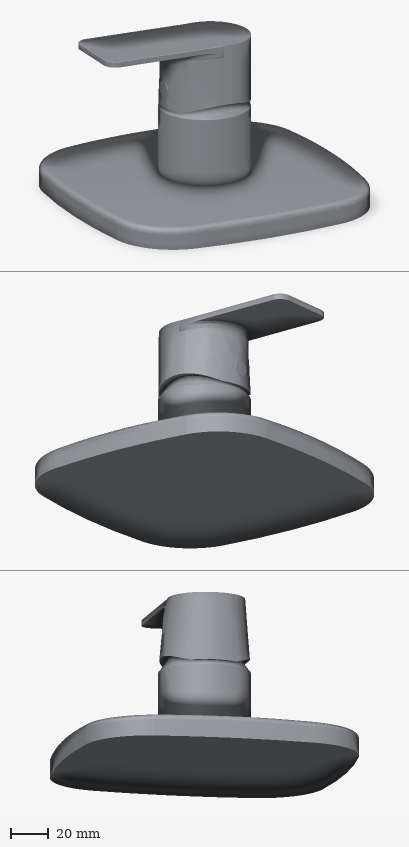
import cadquery as cq
import math

PLATE_HALF = 77.0
SIDE_ARC_RADIUS = 320.0
SIDE_ARC_HALF_CHORD = 43.5
PLATE_EDGE_HEIGHT = 12.1
PLATE_CROWN_HEIGHT = 13.8
PLATE_FILLET = 3.0

COLLAR_RADIUS = 24.6
COLLAR_TOP = 50.9
COLLAR_EDGE_FILLET = 0.4
CONE_TOP_RADIUS = 18.0
CONE_HEIGHT = 9.0

BODY_BOTTOM = 52.0
BODY_TOP = 92.0
BODY_BOTTOM_RADIUS = 24.5
BODY_TOP_HALF_WIDTH = 20.3
BODY_TOP_BACK = 25.2
BODY_TOP_FRONT = -23.5
SIDE_HALF_ANGLE = 10.0

RIM_PEAK_HEIGHT = 58.0
RIM_END_HEIGHT = 53.2
RIM_END_Y = 21.0

LEVER_ROOT_Y = 1.0
LEVER_TIP_Y = -67.0
LEVER_TIP_TOP = 91.0
LEVER_BACK_TOP = 89.4
LEVER_ROOT_UNDERSIDE = 86.8
LEVER_TIP_UNDERSIDE = 87.8
LEVER_HALF_WIDTH = 20.5
LEVER_CORNER_RADIUS = 6.5
LEVER_EDGE_CHAMFER = 0.3

NECK_BOTTOM = 83.2
NECK_FILLET = 1.3
NECK_OVERLAP = 0.5

MARKER_RADIUS = 4.5
MARKER_HEIGHT = 63.2
MARKER_FACE_Y = -24.4
MARKER_DEPTH = 4.0

CLEARANCE = 10.0


def arc_point(radius, degrees, centre_y=0.0):
    angle = math.radians(degrees)
    return (radius * math.cos(angle), centre_y + radius * math.sin(angle))


def lever_top_at(y):
    slope = (LEVER_TIP_TOP - LEVER_BACK_TOP) / (LEVER_TIP_Y - BODY_TOP_BACK)
    return LEVER_TIP_TOP + slope * (y - LEVER_TIP_Y)


def lever_underside_at(y):
    slope = (LEVER_TIP_UNDERSIDE - LEVER_ROOT_UNDERSIDE) / (LEVER_TIP_Y - LEVER_ROOT_Y)
    return LEVER_ROOT_UNDERSIDE + slope * (y - LEVER_ROOT_Y)


def make_plate():
    side_slope = math.asin(SIDE_ARC_HALF_CHORD / SIDE_ARC_RADIUS)
    near = SIDE_ARC_HALF_CHORD
    far = PLATE_HALF - SIDE_ARC_RADIUS * (1 - math.cos(side_slope))
    corner_radius = (far - near) / (math.cos(side_slope) - math.sin(side_slope))
    corner_centre = near - corner_radius * math.sin(side_slope)
    corner_mid = corner_centre + corner_radius * math.cos(math.pi / 4)

    outline = cq.Workplane("XY").moveTo(near, -far)
    for cosine, sine in ((1, 0), (0, 1), (-1, 0), (0, -1)):
        arc_points = [
            (x * cosine - y * sine, x * sine + y * cosine)
            for x, y in ((corner_mid, -corner_mid), (far, -near), (PLATE_HALF, 0), (far, near))
        ]
        outline = outline.threePointArc(arc_points[0], arc_points[1])
        outline = outline.threePointArc(arc_points[2], arc_points[3])
    plate = outline.close().extrude(PLATE_CROWN_HEIGHT + CLEARANCE)

    crown_rise = PLATE_CROWN_HEIGHT - PLATE_EDGE_HEIGHT
    crown_radius = (PLATE_HALF**2 + crown_rise**2) / (2 * crown_rise)
    crown = cq.Workplane("XY").sphere(crown_radius)
    crown = crown.translate((0, 0, PLATE_CROWN_HEIGHT - crown_radius))
    plate = plate.intersect(crown)
    return plate.faces(">Z").edges().fillet(PLATE_FILLET)


def make_collar():
    collar = cq.Workplane("XY").circle(COLLAR_RADIUS).extrude(COLLAR_TOP)
    collar = collar.faces(">Z").edges().fillet(COLLAR_EDGE_FILLET)
    cone = cq.Solid.makeCone(
        COLLAR_RADIUS - COLLAR_EDGE_FILLET, CONE_TOP_RADIUS, CONE_HEIGHT, cq.Vector(0, 0, COLLAR_TOP)
    )
    return collar.union(cq.Workplane(cone))


def add_body_section(workplane, half_width, back_y, front_y, end_angle):
    """Two end arcs, reaching end_angle from the X axis, joined by two side curves."""
    back_centre = back_y - half_width
    front_centre = front_y + half_width
    right_back = arc_point(half_width, end_angle, back_centre)
    left_back = arc_point(half_width, 180 - end_angle, back_centre)
    left_front = arc_point(half_width, 180 + end_angle, front_centre)
    right_front = arc_point(half_width, -end_angle, front_centre)
    is_round = end_angle > 0

    outline = workplane.moveTo(*right_back).threePointArc((0, back_y), left_back)
    if is_round:
        outline = outline.threePointArc((-half_width, 0), left_front)
    else:
        outline = outline.lineTo(*left_front)
    outline = outline.threePointArc((0, front_y), right_front)
    if is_round:
        outline = outline.threePointArc((half_width, 0), right_back)
    else:
        outline = outline.lineTo(*right_back)
    return outline.wire()


def make_body():
    bottom = cq.Workplane("XY").workplane(offset=BODY_BOTTOM)
    bottom = add_body_section(
        bottom, BODY_BOTTOM_RADIUS, BODY_BOTTOM_RADIUS, -BODY_BOTTOM_RADIUS, SIDE_HALF_ANGLE
    )
    top = bottom.workplane(offset=BODY_TOP - BODY_BOTTOM)
    body = add_body_section(top, BODY_TOP_HALF_WIDTH, BODY_TOP_BACK, BODY_TOP_FRONT, 0).loft(ruled=True)

    back_y = BODY_TOP_BACK + CLEARANCE
    front_y = -back_y
    envelope = (
        cq.Workplane("YZ")
        .moveTo(front_y, RIM_END_HEIGHT)
        .lineTo(-RIM_END_Y, RIM_END_HEIGHT)
        .threePointArc((0, RIM_PEAK_HEIGHT), (RIM_END_Y, RIM_END_HEIGHT))
        .lineTo(back_y, RIM_END_HEIGHT)
        .lineTo(back_y, lever_top_at(back_y))
        .lineTo(front_y, lever_top_at(front_y))
        .close()
        .extrude(BODY_BOTTOM_RADIUS + CLEARANCE, both=True)
    )
    neck_relief = cq.Workplane("XY").box(
        2 * back_y, back_y, BODY_TOP - NECK_BOTTOM, centered=(True, False, False)
    )
    neck_relief = neck_relief.translate((0, LEVER_ROOT_Y - back_y, NECK_BOTTOM))
    return body.intersect(envelope).cut(neck_relief)


def make_lever():
    blade = (
        cq.Workplane("YZ")
        .moveTo(LEVER_ROOT_Y, LEVER_ROOT_UNDERSIDE)
        .lineTo(LEVER_TIP_Y, LEVER_TIP_UNDERSIDE)
        .lineTo(LEVER_TIP_Y, LEVER_TIP_TOP)
        .lineTo(LEVER_ROOT_Y, lever_top_at(LEVER_ROOT_Y))
        .close()
        .extrude(LEVER_HALF_WIDTH, both=True)
    )
    blade = blade.faces("<Y").edges("|Z").fillet(LEVER_CORNER_RADIUS)
    return blade.faces(">Z").edges("not >Y").chamfer(LEVER_EDGE_CHAMFER)


def make_neck():
    """Straight-sided, round-fronted block that carries the blade, with a fillet under the blade."""
    front_centre = BODY_TOP_FRONT + LEVER_HALF_WIDTH
    fillet_top = lever_underside_at(BODY_TOP_FRONT)
    fillet_bottom = fillet_top - NECK_FILLET
    neck_top = fillet_top + NECK_OVERLAP
    inner = LEVER_HALF_WIDTH
    outer = inner + NECK_FILLET
    arc_mid = (
        outer - NECK_FILLET * math.cos(math.pi / 4),
        fillet_bottom + NECK_FILLET * math.sin(math.pi / 4),
    )
    block = (
        cq.Workplane("XY", origin=(0, 0, NECK_BOTTOM))
        .moveTo(inner, LEVER_ROOT_Y)
        .lineTo(inner, front_centre)
        .threePointArc((0, BODY_TOP_FRONT), (-inner, front_centre))
        .lineTo(-inner, LEVER_ROOT_Y)
        .close()
        .extrude(neck_top - NECK_BOTTOM)
    )
    fillet_ring = (
        cq.Workplane("XZ", origin=(0, front_centre, 0))
        .moveTo(0, fillet_bottom)
        .lineTo(inner, fillet_bottom)
        .threePointArc(arc_mid, (outer, fillet_top))
        .lineTo(outer, neck_top)
        .lineTo(0, neck_top)
        .close()
        .revolve(360, (0, 0, 0), (0, 1, 0))
    )
    under_blade = cq.Workplane("XY", origin=(0, front_centre, 0)).box(
        2 * LEVER_HALF_WIDTH, outer + CLEARANCE, BODY_TOP, centered=(True, False, False)
    )
    under_blade = under_blade.translate((0, -outer - CLEARANCE, 0))
    return block.union(fillet_ring.intersect(under_blade))


def make_marker():
    return (
        cq.Workplane("XZ", origin=(0, MARKER_FACE_Y, MARKER_HEIGHT))
        .circle(MARKER_RADIUS)
        .extrude(-MARKER_DEPTH)
    )


result = (
    make_plate()
    .union(make_collar())
    .union(make_body())
    .union(make_neck())
    .union(make_lever())
    .union(make_marker())
)